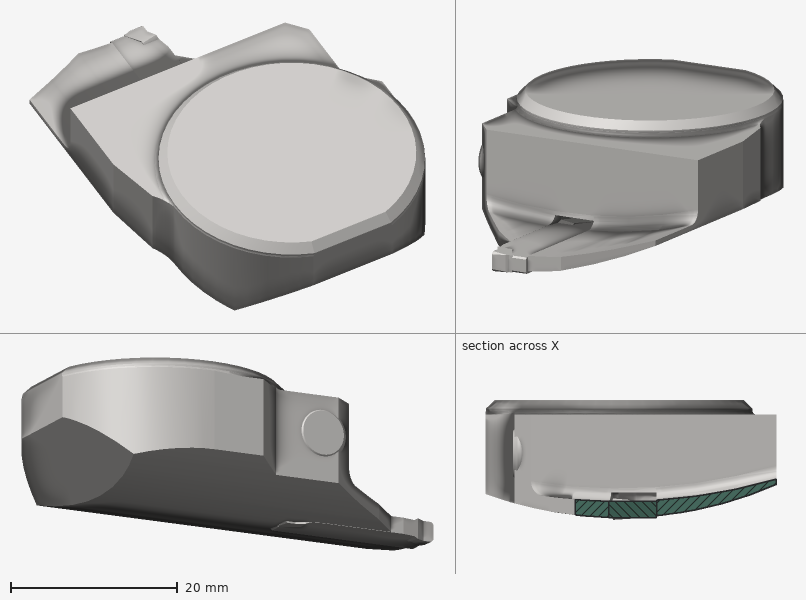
import cadquery as cq
import math


wall_radius = 16.0
head_radius = 15.95
top_z = 14.35
head_chamfer_height = 1.0
head_chamfer_width = 1.05
flat_x = 15.1
neck_fillet = 0.45

block_top_z = 12.6
back_y = 12.55
block_face_x = -20.75
front_y = -18.85
flange_end_x = -36.45
root_fillet = 1.5
underside_z = 0.25
underside_radius = 46.6
flange_top_z = 2.25
flange_top_radius = 68.05
bevel_top_z = 7.85
blend_radius = 4.75
blend_turn = 43.0
front_corner_x = -30.85
front_bend_x = -10.1

boss_x = -16.25
boss_z = 7.95
boss_radius = 3.25
boss_chamfer = 0.5
boss_end_y = back_y + 0.15
boss_start_y = 9.4

insert_end_x = -37.25
insert_half = 9.95
insert_mid_x = insert_end_x + insert_half
insert_top_y = 1.2
insert_bottom_y = -4.45
edge_y = 0.1
body_low_z = 0.235
body_high_z = 2.25
tip_width = 2.55
tip_length = 2.4
shoulder_y = 0.75
heel_setback = 0.3
nose_chamfer = 0.2
tip_chamfer = 0.35
tip_slope_length = 0.5
foot_y = -2.5
ridge_foot_y = -1.25
taper_end_y = -2.9
pocket_top_z = 3.3


def circle_along_x(radius, center_z, start_x, end_x):
    """Cylinder about an axis parallel to X, in the plane Y = 0."""
    return cq.Workplane("YZ", origin=(start_x, 0, center_z)).circle(radius).extrude(end_x - start_x)


def block_outline():
    """Plan outline of the head, the block and the flange."""
    blend_angle = math.radians(blend_turn)
    blend_start = (
        -blend_radius * math.sin(blend_angle),
        -wall_radius - blend_radius * (1 - math.cos(blend_angle)),
    )
    blend_middle = (
        -blend_radius * math.sin(blend_angle / 2),
        -wall_radius - blend_radius * (1 - math.cos(blend_angle / 2)),
    )
    return (
        cq.Workplane("XY")
        .moveTo(0, wall_radius)
        .lineTo(-6.55, wall_radius)
        .lineTo(-9.95, back_y)
        .lineTo(-18.3, back_y)
        .lineTo(-27.55, 4.85)
        .lineTo(flange_end_x, insert_bottom_y)
        .lineTo(flange_end_x, -9.0)
        .lineTo(front_corner_x, front_y)
        .lineTo(front_bend_x, front_y)
        .lineTo(*blend_start)
        .threePointArc(blend_middle, (0, -wall_radius))
        .threePointArc((wall_radius, 0), (0, wall_radius))
        .close()
    )


def insert_outline():
    """Side profile of the insert in the XY plane, both ends alike."""
    left_half = [
        (insert_end_x + 4.6, insert_top_y),
        (insert_end_x + tip_length, shoulder_y),
        (insert_end_x + 1.35, edge_y),
        (insert_end_x, edge_y),
        (insert_end_x + 0.1, -1.75),
        (insert_end_x + heel_setback, -2.1),
        (insert_end_x + heel_setback, insert_bottom_y),
    ]
    right_half = [(2 * insert_mid_x - x, y) for x, y in reversed(left_half)]
    return cq.Workplane("XY").polyline(left_half + right_half).close()


def insert_slab(low_z, high_z):
    return insert_outline().extrude(high_z - low_z).translate((0, 0, low_z))


def tip():
    """Left tip: widest at its upper edge, narrowing downwards and cut off at a slant."""
    ridge_x = insert_end_x + tip_length
    back_x = ridge_x + tip_slope_length
    wedge = (
        cq.Workplane("YZ", origin=(insert_end_x, 0, 0))
        .polyline([
            (insert_top_y, 0),
            (insert_top_y, tip_width),
            (shoulder_y, tip_width),
            (taper_end_y, body_high_z),
            (taper_end_y, body_low_z),
            (shoulder_y, 0),
        ])
        .close()
        .extrude(tip_length + tip_slope_length)
    )
    slanted_foot = (
        cq.Workplane("XY")
        .polyline([
            (insert_end_x, insert_top_y),
            (back_x, insert_top_y),
            (back_x, ridge_foot_y),
            (ridge_x, ridge_foot_y),
            (insert_end_x + 0.5, foot_y),
            (insert_end_x, foot_y),
        ])
        .close()
        .extrude(tip_width)
    )
    end_profile = (
        cq.Workplane("XZ")
        .polyline([
            (insert_end_x, tip_chamfer),
            (insert_end_x, tip_width - tip_chamfer),
            (insert_end_x + tip_chamfer, tip_width),
            (ridge_x, tip_width),
            (back_x, body_high_z),
            (back_x, body_low_z),
            (ridge_x, 0),
            (insert_end_x + tip_chamfer, 0),
        ])
        .close()
        .extrude(-2 * insert_bottom_y, both=True)
    )
    return wedge.intersect(slanted_foot).intersect(end_profile).intersect(insert_slab(0, tip_width))


def make_insert():
    body_length = 2 * (insert_half - heel_setback)
    chamfered_bar = (
        cq.Workplane("XY", origin=(insert_mid_x, 0, body_low_z))
        .rect(body_length, -4 * insert_bottom_y)
        .extrude(body_high_z - body_low_z)
        .faces("<X or >X")
        .edges("|Y")
        .chamfer(nose_chamfer)
    )
    body = insert_slab(body_low_z, body_high_z).intersect(chamfered_bar)
    left_tip = tip()
    right_tip = left_tip.mirror("YZ", (insert_mid_x, 0, 0))
    return body.union(left_tip).union(right_tip)


def make_head():
    """Chamfered disc standing on the block, with its foot widened by the neck fillet."""
    chamfer_z = top_z - head_chamfer_height
    foot_middle = neck_fillet * (1 - math.sqrt(0.5))
    return (
        cq.Workplane("XZ")
        .moveTo(0, block_top_z)
        .lineTo(head_radius + neck_fillet, block_top_z)
        .threePointArc(
            (head_radius + foot_middle, block_top_z + foot_middle),
            (head_radius, block_top_z + neck_fillet),
        )
        .lineTo(head_radius, chamfer_z)
        .lineTo(head_radius - head_chamfer_width, top_z)
        .lineTo(0, top_z)
        .close()
        .revolve(360, (0, 0, 0), (0, 1, 0))
    )


def flange_clearance():
    """Space above the flange, rounded where the block face rises from it."""
    return (
        circle_along_x(flange_top_radius, flange_top_z + flange_top_radius, insert_end_x, block_face_x)
        .edges(">X")
        .fillet(root_fillet)
    )


def make_boss():
    length = boss_end_y - boss_start_y
    return (
        cq.Workplane("XZ", origin=(boss_x, boss_end_y, boss_z))
        .circle(boss_radius)
        .extrude(length)
        .faces(">Y")
        .chamfer(boss_chamfer)
    )


def make_holder():
    outline = block_outline().extrude(top_z)
    block = block_outline().extrude(block_top_z)
    underside = circle_along_x(underside_radius, underside_z + underside_radius, insert_end_x, wall_radius)
    bevel = (
        cq.Workplane("XZ")
        .moveTo(flat_x, bevel_top_z)
        .lineTo(flat_x - bevel_top_z, 0)
        .lineTo(wall_radius, 0)
        .lineTo(wall_radius, top_z)
        .lineTo(flat_x, top_z)
        .close()
        .extrude(wall_radius, both=True)
    )
    flat_chamfer = (
        cq.Workplane("XZ")
        .moveTo(flat_x, top_z - head_chamfer_height)
        .lineTo(flat_x, top_z)
        .lineTo(flat_x - head_chamfer_width, top_z)
        .close()
        .extrude(wall_radius, both=True)
    )
    body = block.cut(flange_clearance()).union(make_head().intersect(outline))
    body = body.intersect(underside).cut(bevel).cut(flat_chamfer).union(make_boss())
    return body.cut(insert_slab(0, pocket_top_z))


insert = make_insert()
holder = make_holder()

result = cq.Compound.makeCompound([holder.solids().val(), insert.solids().val()])